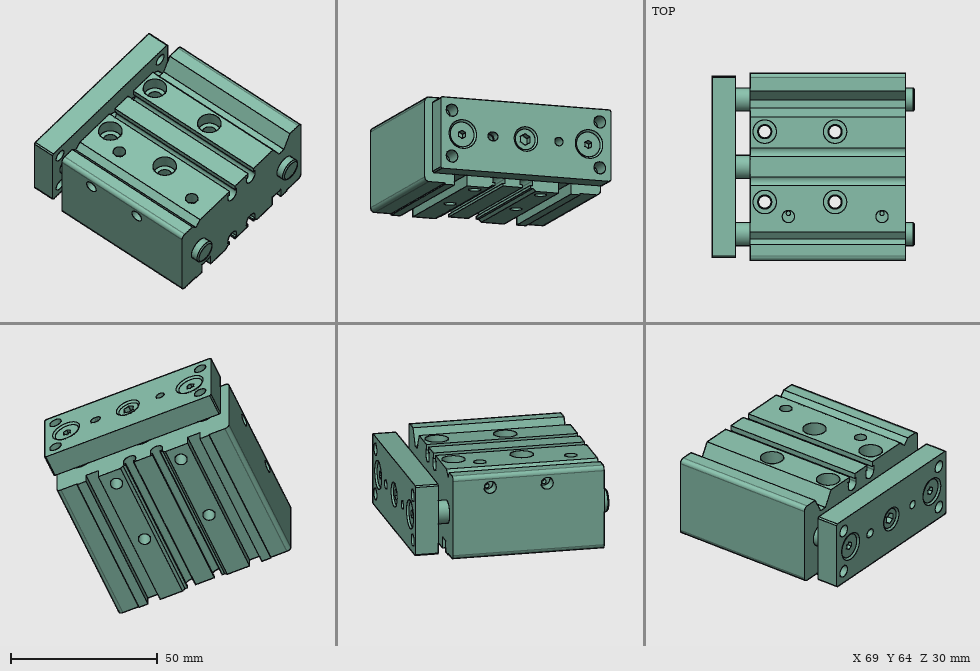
import cadquery as cq
import math


total_length = 69.0
plate_thickness = 8.0
plate_gap = 5.0
rod_overhang = 3.0
housing_start = plate_thickness + plate_gap
housing_end = total_length - rod_overhang
housing_length = housing_end - housing_start

housing_width = 64.0
housing_height = 30.0
half_width = housing_width / 2
top_z = housing_height / 2
bottom_z = -top_z
corner_radius = 1.5

rod_diameter = 8.0
rod_chamfer = 0.5
guide_y = 23.0
piston_rod_insertion = 8.0

plate_width = 61.95
plate_height = 25.0
plate_chamfer = 0.5
corner_hole_diameter = 4.2
corner_hole_y = 26.9
corner_hole_z = 8.0
dowel_y = 12.0
dowel_diameter = 3.0
dowel_slot_length = 3.6
dowel_slot_depth = 4.0
recess_depth = 0.7
guide_recess_diameter = 10.0
guide_socket_flats = 2.5
piston_recess_diameter = 8.55
piston_socket_flats = 3.45
hexagon_sides = 6
hexagon_half_angle = 180 / hexagon_sides
socket_turn = 90.0
socket_depth = 3.0

sensor_slot_y = 5.0
sensor_slot_mouth = 2.9
sensor_slot_width = 4.5
sensor_lip = 1.9
sensor_slot_depth = 5.8
bottom_channel_depth = 1.0
bottom_channel_half_width = 8.35

dovetail_y = 21.45
dovetail_floor_width = 2.6
dovetail_depth = 5.5
dovetail_lean = 30.0

vee_inner_y = 22.3
vee_root_y = 24.55
vee_outer_y = 26.4
vee_depth = 2.1

foot_slot_y = 18.9
foot_slot_width = 4.55
foot_slot_depth = 4.0
foot_outer_y = 24.55
foot_step = 0.5

mount_inset = 5.0
mount_pitch = 24.0
mount_x = (housing_start + mount_inset, housing_start + mount_inset + mount_pitch)
mount_y = 12.0
counterbore_diameter = 8.0
counterbore_depth = 5.0
clearance_diameter = 4.8
thread_diameter = 4.2
thread_length = 10.0

port_diameter = 4.2
port_depth = 5.0
passage_diameter = 1.5
passage_extra_depth = 3.0
top_port_x = (26.0, 57.95)
top_port_y = -17.0
top_passage_y = -15.9
side_port_x = (26.0, 46.0)
side_port_z = 10.4
side_passage_z = 9.5


def x_rod(diameter, start, end, y=0.0, z=0.0):
    """Cylinder along X from start to end."""
    circle = cq.Workplane("YZ", origin=(start, y, z)).circle(diameter / 2)
    return circle.extrude(end - start)


def x_prism(points):
    """Closed (y, z) outline pushed along the whole housing."""
    profile = cq.Workplane("YZ", origin=(housing_start, 0, 0)).polyline(points).close()
    return profile.extrude(housing_length)


def x_bar(width, z_low, z_high, y=0.0):
    """Rectangular bar along the whole housing."""
    left, right = y - width / 2, y + width / 2
    return x_prism([(left, z_low), (right, z_low), (right, z_high), (left, z_high)])


def z_hole(diameter, x, y, depth):
    """Cutter going down from the housing's top face."""
    return cq.Workplane("XY", origin=(x, y, top_z)).circle(diameter / 2).extrude(-depth)


def side_hole(diameter, x, z, depth):
    """Cutter going inward from the housing's -Y face."""
    return cq.Workplane("XZ", origin=(x, -half_width, z)).circle(diameter / 2).extrude(-depth)


def housing_block():
    """Block with rounded long edges and a shallow step outside each foot."""
    step_z = bottom_z + foot_step
    block = x_bar(housing_width, step_z, top_z).edges("|X").fillet(corner_radius)
    return block.union(x_bar(2 * foot_outer_y, bottom_z, top_z))


def sensor_slot(y):
    """Slot in the top face: narrow mouth, wide inside, half-round floor."""
    radius = sensor_slot_width / 2
    lip_z = top_z - sensor_lip
    arc_z = top_z - sensor_slot_depth + radius
    inside = (
        cq.Workplane("YZ", origin=(housing_start, 0, 0))
        .moveTo(y - radius, lip_z)
        .lineTo(y - radius, arc_z)
        .threePointArc((y, arc_z - radius), (y + radius, arc_z))
        .lineTo(y + radius, lip_z)
        .close()
        .extrude(housing_length)
    )
    return inside.union(x_bar(sensor_slot_mouth, arc_z, top_z, y))


def cut_sensor_slots(body):
    """Two slots in the top face, mirrored to the bottom face."""
    for y in (-sensor_slot_y, sensor_slot_y):
        slot = sensor_slot(y)
        body = body.cut(slot).cut(slot.mirror("XY"))
    return body


def bottom_channel():
    """Shallow channel between the feet with 45 degree flanks."""
    floor_z = bottom_z + bottom_channel_depth
    floor_half = bottom_channel_half_width - bottom_channel_depth
    mouth_half = bottom_channel_half_width
    return x_prism(
        [
            (-mouth_half, bottom_z),
            (mouth_half, bottom_z),
            (floor_half, floor_z),
            (-floor_half, floor_z),
        ]
    )


def dovetail_groove():
    """Flat-floored groove whose flanks open toward the top."""
    floor_half = dovetail_floor_width / 2
    mouth_half = floor_half + dovetail_depth * math.tan(math.radians(dovetail_lean))
    floor_z = top_z - dovetail_depth
    return x_prism(
        [
            (dovetail_y - mouth_half, top_z),
            (dovetail_y - floor_half, floor_z),
            (dovetail_y + floor_half, floor_z),
            (dovetail_y + mouth_half, top_z),
        ]
    )


def vee_groove():
    """Small V groove along the -Y side of the top face."""
    return x_prism([(-vee_inner_y, top_z), (-vee_root_y, top_z - vee_depth), (-vee_outer_y, top_z)])


def cut_foot_slots(body):
    """One rectangular slot through each foot."""
    for y in (-foot_slot_y, foot_slot_y):
        body = body.cut(x_bar(foot_slot_width, bottom_z, bottom_z + foot_slot_depth, y))
    return body


def cut_mounting_holes(body):
    """Counterbored through holes, narrower in the threaded lower stretch."""
    for x in mount_x:
        for y in (-mount_y, mount_y):
            body = body.cut(z_hole(counterbore_diameter, x, y, counterbore_depth))
            body = body.cut(z_hole(clearance_diameter, x, y, housing_height - thread_length))
            body = body.cut(z_hole(thread_diameter, x, y, housing_height))
    return body


def cut_ports(body):
    """Air ports in the top and -Y faces, each with an off-centre passage."""
    passage_depth = port_depth + passage_extra_depth
    for x in top_port_x:
        body = body.cut(z_hole(port_diameter, x, top_port_y, port_depth))
        body = body.cut(z_hole(passage_diameter, x, top_passage_y, passage_depth))
    for x in side_port_x:
        body = body.cut(side_hole(port_diameter, x, side_port_z, port_depth))
        body = body.cut(side_hole(passage_diameter, x, side_passage_z, passage_depth))
    return body


def cut_rod_bores(body):
    """Through bores for the guide rods and a blind bore for the piston rod."""
    for y in (-guide_y, guide_y):
        body = body.cut(x_rod(rod_diameter, housing_start, housing_end, y))
    return body.cut(x_rod(rod_diameter, housing_start, housing_start + piston_rod_insertion))


def make_housing():
    body = housing_block()
    body = body.cut(bottom_channel())
    body = cut_sensor_slots(body)
    body = body.cut(dovetail_groove())
    body = body.cut(vee_groove())
    body = cut_foot_slots(body)
    body = cut_mounting_holes(body)
    body = cut_ports(body)
    return cut_rod_bores(body)


def plate_block():
    block = cq.Workplane("XY").box(plate_thickness, plate_width, plate_height)
    return block.edges("|X").chamfer(plate_chamfer).translate((plate_thickness / 2, 0, 0))


def screw_recess(y, diameter, socket_flats):
    """Conical recess in the plate's outer face with a hexagon socket in its floor."""
    cone = (
        cq.Workplane("YZ", origin=(0, y, 0))
        .circle(diameter / 2)
        .workplane(offset=recess_depth)
        .circle(diameter / 2 - recess_depth)
        .loft()
    )
    across_corners = socket_flats / math.cos(math.radians(hexagon_half_angle))
    socket = (
        cq.Workplane("YZ")
        .polygon(hexagon_sides, across_corners)
        .extrude(recess_depth + socket_depth)
        .rotate((0, 0, 0), (1, 0, 0), socket_turn)
        .translate((0, y, 0))
    )
    return cone.union(socket)


def cut_plate_holes(body):
    """Corner holes and dowel holes through the plate, one dowel hole widened to a slot."""
    for y in (-corner_hole_y, corner_hole_y):
        for z in (-corner_hole_z, corner_hole_z):
            body = body.cut(x_rod(corner_hole_diameter, 0, plate_thickness, y, z))
    for y in (-dowel_y, dowel_y):
        body = body.cut(x_rod(dowel_diameter, 0, plate_thickness, y))
    dowel_slot = cq.Workplane("YZ", origin=(0, dowel_y, 0)).slot2D(dowel_slot_length, dowel_diameter)
    return body.cut(dowel_slot.extrude(dowel_slot_depth))


def make_carriage():
    body = cut_plate_holes(plate_block())
    for y in (-guide_y, guide_y):
        guide_rod = x_rod(rod_diameter, plate_thickness, total_length, y)
        body = body.union(guide_rod.faces(">X").chamfer(rod_chamfer))
        body = body.cut(screw_recess(y, guide_recess_diameter, guide_socket_flats))
    piston_rod = x_rod(rod_diameter, plate_thickness, housing_start + piston_rod_insertion)
    body = body.union(piston_rod)
    return body.cut(screw_recess(0.0, piston_recess_diameter, piston_socket_flats))


housing = make_housing()
carriage = make_carriage()
result = cq.Compound.makeCompound([housing.val(), carriage.val()])